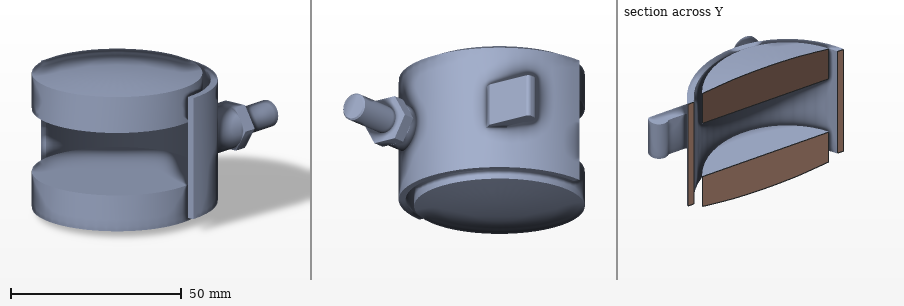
import cadquery as cq
import math


wheel_radius = 25.0
wheel_gap = 19.05
rim_width = 10.95
dome_height = 2.0

shell_radius = 29.5
shell_thickness = 2.0
shell_width = 36.9
shell_inner_radius = shell_radius - shell_thickness
boss_radius = 6.5

stem_x = 15.45
stud_radius = 4.05
stem_top = 75 - wheel_radius
stem_bottom = 24.8
stud_chamfer = 0.45
collar_top = 35.0
collar_thickness = 4.05
collar_across_corners = 15.0
collar_bottom = collar_top - collar_thickness
collar_clearance = 0.15
boss_top = collar_bottom - collar_clearance

lever_width = 12.45
lever_left = -31.7
lever_top = 27.1
lever_corner_radius = 1.1
lever_top_bend_x = -17.2
lever_underside = 23.0
lever_underside_right = -20.7
lever_tip_bottom = 22.1
lever_tip_radius = 2.9
lever_fillet = 1.5
lever_top_slope = math.radians(33)
lever_root_slope = math.radians(42)
lever_root_length = 3.0


def along_y(x, start, end):
    """XZ-parallel workplane at height start, and the extrusion length that reaches end along +Y."""
    plane = cq.Plane(origin=(x, start, 0), xDir=(1, 0, 0), normal=(0, 1, 0))
    return cq.Workplane(plane), end - start


def cylinder_along_y(x, radius, start, end):
    workplane, length = along_y(x, start, end)
    return workplane.circle(radius).extrude(length)


def shell_width_cylinder(radius):
    return cq.Workplane("XY", origin=(0, 0, -shell_width / 2)).circle(radius).extrude(shell_width)


def make_wheel(side):
    """Flat-sided disc with a domed outer face; side is +1 for the upper wheel, -1 for the lower."""
    inner_z = wheel_gap / 2
    rim_z = inner_z + rim_width
    crown_z = rim_z + dome_height
    dome_radius = (wheel_radius**2 + dome_height**2) / (2 * dome_height)
    half_way = wheel_radius / 2
    dome_mid_z = crown_z - dome_radius + math.sqrt(dome_radius**2 - half_way**2)
    return (
        cq.Workplane("XZ")
        .moveTo(0, side * inner_z)
        .lineTo(wheel_radius, side * inner_z)
        .lineTo(wheel_radius, side * rim_z)
        .threePointArc((half_way, side * dome_mid_z), (0, side * crown_z))
        .close()
        .revolve(360, (0, 0, 0), (0, 1, 0))
    )


def make_lever():
    tip_arc_y = lever_tip_bottom + lever_tip_radius
    tip_arc_x = lever_left + lever_tip_radius
    tip_rise = tip_arc_y - lever_underside
    tip_arc_end_x = tip_arc_x + math.sqrt(lever_tip_radius**2 - tip_rise**2)
    corner_x = lever_left + lever_corner_radius
    corner_y = lever_top - lever_corner_radius
    corner_middle = (
        corner_x - lever_corner_radius * math.cos(math.pi / 4),
        corner_y + lever_corner_radius * math.sin(math.pi / 4),
    )
    top_root = (
        lever_top_bend_x + lever_root_length * math.cos(lever_top_slope),
        lever_top - lever_root_length * math.sin(lever_top_slope),
    )
    bottom_root = (
        lever_underside_right + lever_root_length * math.cos(lever_root_slope),
        lever_underside - lever_root_length * math.sin(lever_root_slope),
    )
    lever = (
        cq.Workplane("XY", origin=(0, 0, -lever_width / 2))
        .moveTo(corner_x, lever_top)
        .lineTo(lever_top_bend_x, lever_top)
        .lineTo(*top_root)
        .lineTo(*bottom_root)
        .lineTo(lever_underside_right, lever_underside)
        .lineTo(tip_arc_end_x, lever_underside)
        .threePointArc((tip_arc_x, lever_tip_bottom), (lever_left, tip_arc_y))
        .lineTo(lever_left, corner_y)
        .threePointArc(corner_middle, (corner_x, lever_top))
        .close()
        .extrude(lever_width)
    )
    for corner in ((tip_arc_end_x, lever_underside, 0), (lever_underside_right, lever_underside, 0)):
        lever = lever.edges(cq.selectors.NearestToPointSelector(corner)).fillet(lever_fillet)
    return lever


def make_housing():
    rear_half = cq.Workplane("XY").box(
        2 * shell_radius, shell_radius, shell_width, centered=(True, False, True)
    )
    shell = shell_width_cylinder(shell_radius).intersect(rear_half)
    boss = cylinder_along_y(stem_x, boss_radius, 0, boss_top)
    stem_hole = cylinder_along_y(stem_x, stud_radius, stem_bottom, boss_top)
    return (
        shell.union(boss)
        .union(make_lever())
        .cut(shell_width_cylinder(shell_inner_radius))
        .cut(stem_hole)
    )


def make_stem():
    stud = cylinder_along_y(stem_x, stud_radius, stem_bottom, stem_top).faces(">Y").chamfer(stud_chamfer)
    workplane, length = along_y(stem_x, collar_bottom, collar_top)
    collar = workplane.polygon(6, collar_across_corners).extrude(length)
    return stud.union(collar)


wheels = [make_wheel(side) for side in (1, -1)]
housing = make_housing()
stem = make_stem()

result = cq.Compound.makeCompound(
    [housing.solids().val(), stem.solids().val(), *[wheel.solids().val() for wheel in wheels]]
)